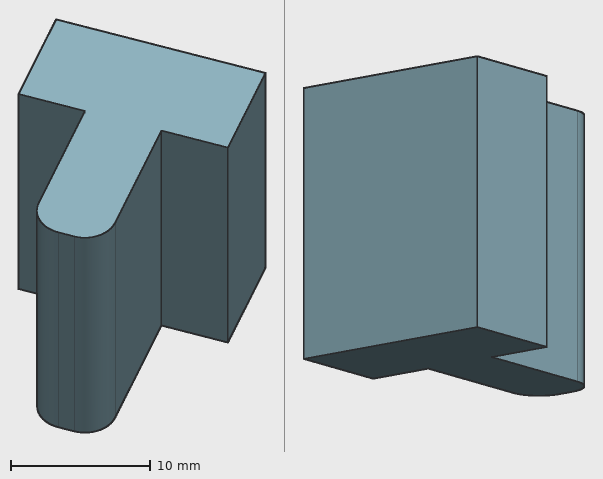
import cadquery as cq

head_width = 16.0
total_depth = 20.15
height = 20.0

head_depth = head_width / 2
tongue_width = 5.85
tongue_length = total_depth - head_depth
nose_radius = 2.32

head = cq.Workplane("XY").box(
    head_width, head_depth, height, centered=(True, False, False)
)

tongue = (
    cq.Workplane("XY")
    .box(tongue_width, tongue_length, height, centered=(True, False, False))
    .translate((0, -tongue_length, 0))
    .faces("<Y")
    .edges("|Z")
    .fillet(nose_radius)
)

result = head.union(tongue)